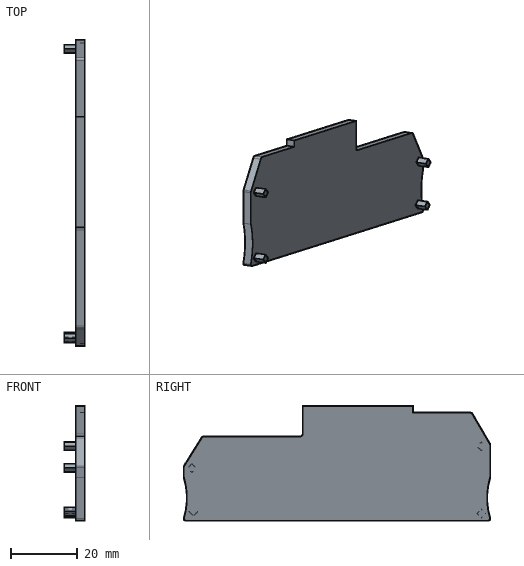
import cadquery as cq

length = 92.7
height = 34.75
thickness = 2.8
half_length = length / 2

rear_shoulder_height = 32.8
front_shoulder_height = 25.6
tower_rear_offset = 23.35
tower_width = 33.4
tower_rear_y = half_length - tower_rear_offset
tower_front_y = tower_rear_y - tower_width

slope_run = 5.65
rear_slope_bottom = 23.2
front_slope_bottom = 16.5
corner_radius = 1.0
step_radius = 0.7

foot_radius = 0.7
hollow_bottom = foot_radius
hollow_top = 13.2
hollow_depth = 0.9
hollow_middle = (hollow_bottom + hollow_top) / 2

peg_length = 3.5
peg_diagonal = 2.6
peg_embed = 0.5
peg_centers = [
    (half_length - 2.8, 22.6),
    (half_length - 2.8, 2.3),
    (-half_length + 2.4, 16.0),
    (-half_length + 2.9, 2.9),
]


def make_plate():
    outline = (
        cq.Workplane("YZ")
        .moveTo(-half_length + foot_radius, 0)
        .lineTo(half_length - foot_radius, 0)
        .tangentArcPoint((half_length, foot_radius), relative=False)
        .threePointArc((half_length - hollow_depth, hollow_middle), (half_length, hollow_top))
        .lineTo(half_length, rear_slope_bottom)
        .lineTo(half_length - slope_run, rear_shoulder_height)
        .lineTo(tower_rear_y, rear_shoulder_height)
        .lineTo(tower_rear_y, height)
        .lineTo(tower_front_y, height)
        .lineTo(tower_front_y, front_shoulder_height)
        .lineTo(-half_length + slope_run, front_shoulder_height)
        .lineTo(-half_length, front_slope_bottom)
        .lineTo(-half_length, hollow_top)
        .threePointArc((-half_length + hollow_depth, hollow_middle), (-half_length, hollow_bottom))
        .radiusArc((-half_length + foot_radius, 0), -foot_radius)
        .close()
    )
    return outline.extrude(thickness)


def round_edge(body, y, z, radius):
    """Round the edge along X that passes through the point (y, z)."""
    edge = cq.selectors.NearestToPointSelector((thickness / 2, y, z))
    return body.edges(edge).fillet(radius)


def make_pegs():
    return (
        cq.Workplane("YZ", origin=(-peg_length, 0, 0))
        .pushPoints(peg_centers)
        .polygon(4, peg_diagonal)
        .extrude(peg_length + peg_embed)
    )


plate = make_plate()
plate = round_edge(plate, half_length, rear_slope_bottom, corner_radius)
plate = round_edge(plate, half_length - slope_run, rear_shoulder_height, corner_radius)
plate = round_edge(plate, -half_length, front_slope_bottom, corner_radius)
plate = round_edge(plate, -half_length + slope_run, front_shoulder_height, corner_radius)
plate = round_edge(plate, tower_front_y, front_shoulder_height, step_radius)

result = plate.union(make_pegs())